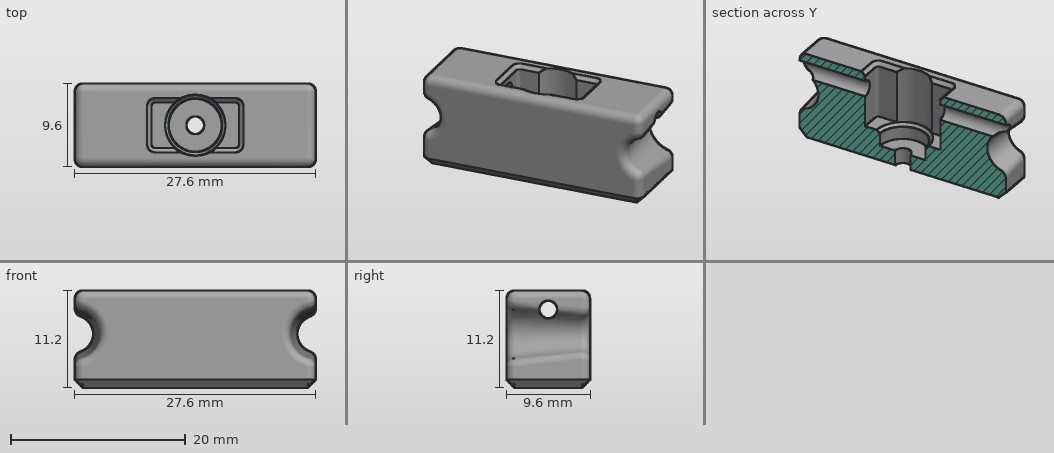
import cadquery as cq

LENGTH = 27.6
WIDTH = 9.6
HEIGHT = 11.2
EDGE_ROUND = 1.0
BOTTOM_CHAMFER = 1.0

GROOVE_Z = 6.2
GROOVE_RADIUS_WIDE = 3.0
GROOVE_RADIUS_NARROW = 2.0

POCKET_LENGTH = 10.0
POCKET_WIDTH = 5.2
POCKET_FLOOR_Z = 4.0
POCKET_CORNER_RADIUS = 0.4
RIM_CHAMFER = 0.5
RIM_TAPER_ANGLE = 45.0

SEAT_DIAMETER = 6.05
SEAT_FLOOR_Z = 2.0
SEAT_MOUTH_DIAMETER = 6.9
SEAT_LEDGE_DIAMETER = 6.15
SEAT_CHAMFER = (SEAT_MOUTH_DIAMETER - SEAT_LEDGE_DIAMETER) / 2
CLEARANCE_DIAMETER = 7.0

VERTICAL_HOLE_DIAMETER = 2.0
LENGTHWISE_HOLE_DIAMETER = 2.0
LENGTHWISE_HOLE_Z = 9.0


def upright_cylinder(diameter, bottom_z, top_z):
    """Cylinder on the Z axis between two heights."""
    return cq.Workplane("XY", origin=(0, 0, bottom_z)).circle(diameter / 2).extrude(top_z - bottom_z)


def end_groove():
    """Cone lying along Y, centred on the +X end face."""
    end_x = LENGTH / 2
    return (
        cq.Workplane("XY", origin=(0, 0, GROOVE_Z))
        .moveTo(end_x, -WIDTH / 2)
        .lineTo(end_x - GROOVE_RADIUS_WIDE, -WIDTH / 2)
        .lineTo(end_x - GROOVE_RADIUS_NARROW, WIDTH / 2)
        .lineTo(end_x, WIDTH / 2)
        .close()
        .revolve(360, (end_x, 0, 0), (end_x, 1, 0))
    )


def grooved_body():
    """Block with a groove at each end, chamfered around the bottom and rounded on all other edges."""
    half = cq.Workplane("XY").box(LENGTH / 2, WIDTH, HEIGHT, centered=(False, True, False))
    half = half.cut(end_groove())
    half = half.edges("not(<Z or <X)").fillet(EDGE_ROUND)
    half = half.faces("<Z").edges("not <X").chamfer(BOTTOM_CHAMFER)
    return half.union(half.mirror("YZ"))


def top_pocket():
    """Rectangular pocket volume with rounded corners and a chamfered rim."""
    straight = (
        cq.Workplane("XY", origin=(0, 0, POCKET_FLOOR_Z))
        .rect(POCKET_LENGTH, POCKET_WIDTH)
        .extrude(HEIGHT - POCKET_FLOOR_Z)
        .edges("|Z")
        .fillet(POCKET_CORNER_RADIUS)
    )
    rim = (
        cq.Workplane("XY", origin=(0, 0, HEIGHT))
        .sketch()
        .rect(POCKET_LENGTH + 2 * RIM_CHAMFER, POCKET_WIDTH + 2 * RIM_CHAMFER)
        .vertices()
        .fillet(POCKET_CORNER_RADIUS + RIM_CHAMFER)
        .finalize()
        .extrude(-RIM_CHAMFER, taper=RIM_TAPER_ANGLE)
    )
    return straight.union(rim)


def round_seat():
    """Seat bore, its tapered mouth just below the pocket floor, and the clearance bore up to the top."""
    mouth = (
        cq.Workplane("XY", origin=(0, 0, POCKET_FLOOR_Z))
        .circle(SEAT_MOUTH_DIAMETER / 2)
        .workplane(offset=-SEAT_CHAMFER)
        .circle(SEAT_LEDGE_DIAMETER / 2)
        .loft()
    )
    seat = upright_cylinder(SEAT_DIAMETER, SEAT_FLOOR_Z, POCKET_FLOOR_Z)
    clearance = upright_cylinder(CLEARANCE_DIAMETER, POCKET_FLOOR_Z, HEIGHT)
    return seat.union(mouth).union(clearance)


vertical_hole = upright_cylinder(VERTICAL_HOLE_DIAMETER, 0, HEIGHT)
lengthwise_hole = (
    cq.Workplane("YZ", origin=(-LENGTH / 2, 0, LENGTHWISE_HOLE_Z))
    .circle(LENGTHWISE_HOLE_DIAMETER / 2)
    .extrude(LENGTH)
)

result = grooved_body()
for cavity in (top_pocket(), round_seat(), vertical_hole, lengthwise_hole):
    result = result.cut(cavity)